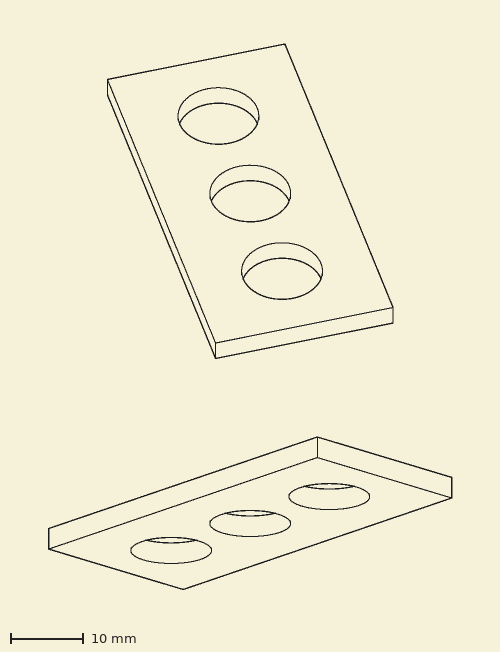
import cadquery as cq

INCH = 25.4

plate_length = 2.125 * INCH
plate_width = 1.0 * INCH
plate_thickness = 3.0
hole_diameter = 7 / 16 * INCH
hole_spacing = 5 / 8 * INCH
hole_count = 3


def make_plate():
    """Flat rectangular plate centred on the origin in X and Y, resting on Z = 0."""
    return cq.Workplane("XY").box(
        plate_length, plate_width, plate_thickness, centered=(True, True, False)
    )


def cut_hole_row(plate):
    """Cut a centred row of equal through holes along the length of the plate."""
    return (
        plate.faces(">Z")
        .workplane()
        .rarray(hole_spacing, plate_width, hole_count, 1)
        .hole(hole_diameter)
    )


result = cut_hole_row(make_plate())